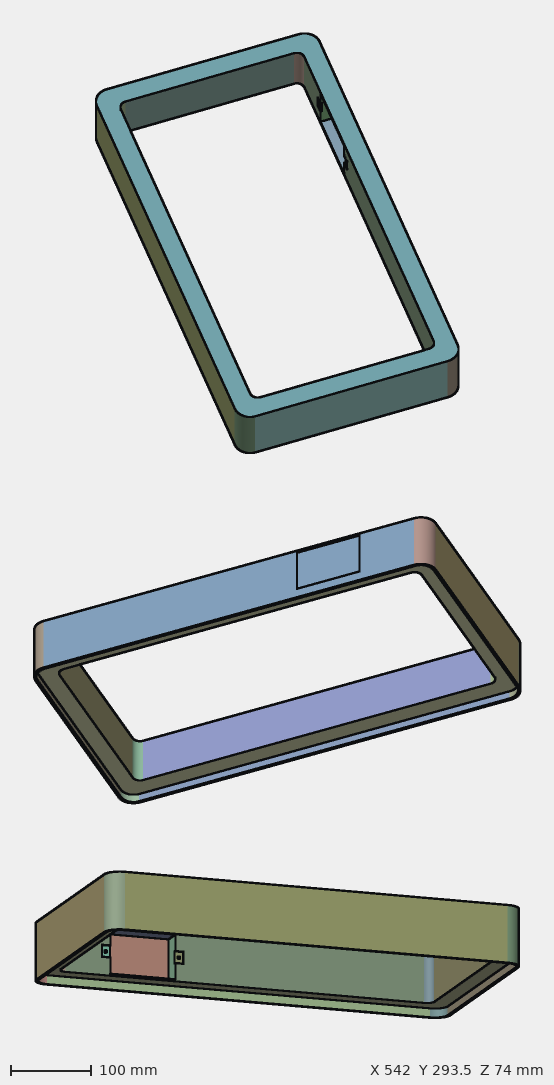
import cadquery as cq

length = 542.0
width = 293.5
height = 74.0
wall = 26.0
outer_radius = 20.0
inner_radius = 10.0

skirt_thickness = 2.5
skirt_height = 11.5

pocket_length = 85.0
pocket_center_x = -134.0
pocket_lip = 2.5
pocket_back_wall = 0.8
pocket_depth = wall - pocket_back_wall
pocket_height = height - skirt_height - 2 * pocket_lip

recess_length = 11.0
recess_height = 15.0
recess_depth = 2.0
hole_diameter = 3.0
hole_depth = 11.0

inner_face_y = width / 2 - wall
middle_z = (height + skirt_height) / 2


def rounded_block(size_x, size_y, size_z, radius):
    """Block with rounded vertical edges, standing on Z = 0."""
    block = cq.Workplane("XY").box(size_x, size_y, size_z, centered=(True, True, False))
    return block.edges("|Z").fillet(radius)


def wall_cut(size_x, depth, size_z, center_x):
    """Box running from the inner face into the +Y wall, centred on the inner face height."""
    box = cq.Workplane("XY").box(size_x, depth, size_z, centered=(True, False, True))
    return box.translate((center_x, inner_face_y, middle_z))


def screw_hole(center_x):
    """Blind hole running in +Y from the floor of a mounting recess."""
    hole = cq.Workplane("XZ").circle(hole_diameter / 2).extrude(-hole_depth)
    return hole.translate((center_x, inner_face_y + recess_depth, middle_z))


outer = rounded_block(length, width, height, outer_radius)
opening = rounded_block(length - 2 * wall, width - 2 * wall, height, inner_radius)
underside = rounded_block(
    length - 2 * skirt_thickness,
    width - 2 * skirt_thickness,
    skirt_height,
    outer_radius - skirt_thickness,
)
result = outer.cut(opening).cut(underside)

result = result.cut(wall_cut(pocket_length, pocket_depth, pocket_height, pocket_center_x))

for side in (-1, 1):
    recess_x = pocket_center_x + side * (pocket_length + recess_length) / 2
    result = result.cut(wall_cut(recess_length, recess_depth, recess_height, recess_x))
    result = result.cut(screw_hole(recess_x))